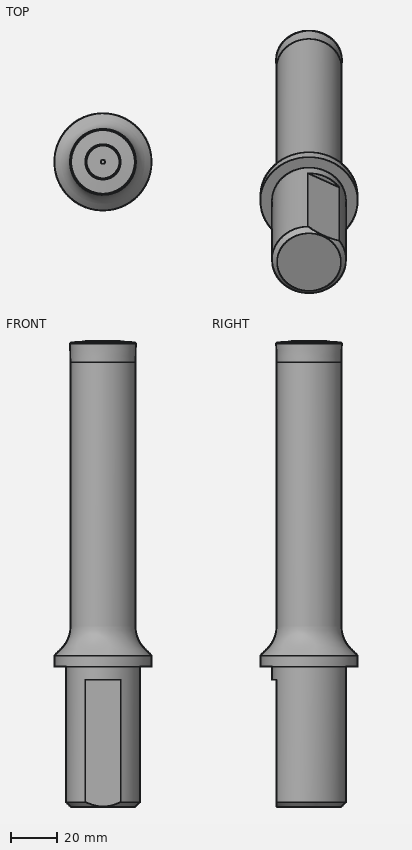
import cadquery as cq
import math

total_length = 201.0
shank_length = 60.5
collar_top = 65.3
cap_length = 9.2
cap_base = total_length - cap_length

collar_diameter = 42.0
shank_diameter = 32.0
stem_diameter = 28.1
cap_diameter = 28.5
boss_diameter = 15.3
centre_mark_diameter = 1.8

shank_chamfer = 2.2
cap_chamfer = 0.6
crown_height = 0.6
boss_height = 0.1
boss_chamfer_width = 0.6
centre_mark_depth = 0.2
flare_radius = 13.5

flat_distance = 14.0
flat_length = 54.9

collar_radius = collar_diameter / 2
shank_radius = shank_diameter / 2
stem_radius = stem_diameter / 2
cap_radius = cap_diameter / 2


def make_holder():
    """Shank, collar and stem, turned as one piece, with a clamping flat."""
    cone_angle = math.radians(45)
    cone_radius = stem_radius + flare_radius * (1 - math.cos(cone_angle))
    flare_bottom = collar_top + (collar_radius - cone_radius) * math.tan(cone_angle)
    flare_top = flare_bottom + flare_radius * math.sin(cone_angle)
    profile = (
        cq.Workplane("XZ")
        .lineTo(shank_radius - shank_chamfer, 0)
        .lineTo(shank_radius, shank_chamfer)
        .lineTo(shank_radius, shank_length)
        .lineTo(collar_radius, shank_length)
        .lineTo(collar_radius, collar_top)
        .lineTo(cone_radius, flare_bottom)
        .tangentArcPoint((stem_radius, flare_top), relative=False)
        .lineTo(stem_radius, cap_base)
        .lineTo(0, cap_base)
        .close()
    )
    holder = profile.revolve(360, (0, 0, 0), (0, 1, 0))
    flat_cutter = (
        cq.Workplane("XY")
        .box(shank_diameter, shank_radius, flat_length, centered=(True, False, False))
        .translate((0, -flat_distance - shank_radius, 0))
    )
    return holder.cut(flat_cutter)


def make_cap():
    """Domed striking cap with a low chamfered boss and a centre mark."""
    rim_radius = cap_radius - cap_chamfer
    crown_top = total_length - boss_height
    rim_height = crown_top - crown_height
    crown_radius = (rim_radius**2 + crown_height**2) / (2 * crown_height)
    crown_centre = crown_top - crown_radius

    def crown_at(radius):
        return crown_centre + math.sqrt(crown_radius**2 - radius**2)

    boss_radius = boss_diameter / 2
    crown_mid_radius = (rim_radius + boss_radius) / 2
    cap = (
        cq.Workplane("XZ")
        .moveTo(0, cap_base)
        .lineTo(stem_radius, cap_base)
        .lineTo(cap_radius, rim_height - cap_chamfer)
        .lineTo(rim_radius, rim_height)
        .threePointArc(
            (crown_mid_radius, crown_at(crown_mid_radius)),
            (boss_radius, crown_at(boss_radius)),
        )
        .lineTo(boss_radius - boss_chamfer_width, total_length)
        .lineTo(0, total_length)
        .close()
        .revolve(360, (0, 0, 0), (0, 1, 0))
    )
    centre_mark = (
        cq.Workplane("XY", origin=(0, 0, total_length - centre_mark_depth))
        .circle(centre_mark_diameter / 2)
        .extrude(centre_mark_depth)
    )
    return cap.cut(centre_mark)


holder = make_holder()
cap = make_cap()
result = cq.Compound.makeCompound([holder.val(), cap.val()])